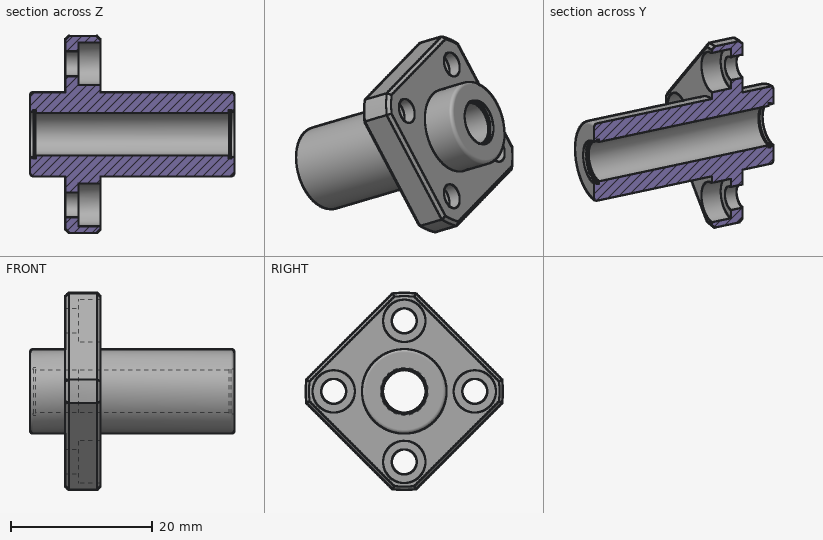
import cadquery as cq
import math

sleeve_length = 29.0
sleeve_diameter = 12.0
sleeve_edge_radius = 0.5

bore_diameter = 6.0
mouth_diameter = 6.4
mouth_depth = 0.5
groove_diameter = 6.8
groove_width = 0.3

flange_start = 5.0
flange_thickness = 5.0
flange_across_flats = 22.0
flange_corner_diameter = 28.0
flange_tilt = 45.0
flange_chamfer = 0.5

hole_circle_diameter = 20.0
hole_count = 4
hole_diameter = 3.5
counterbore_diameter = 6.0
counterbore_depth = 3.1
counterbore_floor = flange_start + flange_thickness - counterbore_depth


def disc(diameter, start, length, y=0.0, z=0.0):
    """Cylinder along X, beginning at X = start."""
    return cq.Workplane("YZ", origin=(start, y, z)).circle(diameter / 2).extrude(length)


def make_sleeve():
    sleeve = disc(sleeve_diameter, 0, sleeve_length)
    return sleeve.edges("%CIRCLE").fillet(sleeve_edge_radius)


def make_flange():
    square = (
        cq.Workplane("YZ", origin=(flange_start, 0, 0))
        .rect(flange_across_flats, flange_across_flats)
        .extrude(flange_thickness)
        .rotate((0, 0, 0), (1, 0, 0), flange_tilt)
    )
    flange = square.intersect(disc(flange_corner_diameter, flange_start, flange_thickness))
    return flange.faces("<X or >X").chamfer(flange_chamfer)


def cut_mounting_holes(body):
    for index in range(hole_count):
        angle = 2 * math.pi * index / hole_count
        y = hole_circle_diameter / 2 * math.cos(angle)
        z = hole_circle_diameter / 2 * math.sin(angle)
        body = body.cut(disc(hole_diameter, flange_start, flange_thickness, y, z))
        body = body.cut(disc(counterbore_diameter, counterbore_floor, counterbore_depth, y, z))
    return body


def cut_bore(body):
    body = body.cut(disc(bore_diameter, 0, sleeve_length))
    front_recess = disc(mouth_diameter, 0, mouth_depth).union(disc(groove_diameter, mouth_depth, groove_width))
    back_recess = front_recess.mirror("YZ", (sleeve_length / 2, 0, 0))
    return body.cut(front_recess).cut(back_recess)


body = make_sleeve().union(make_flange())
result = cut_bore(cut_mounting_holes(body))